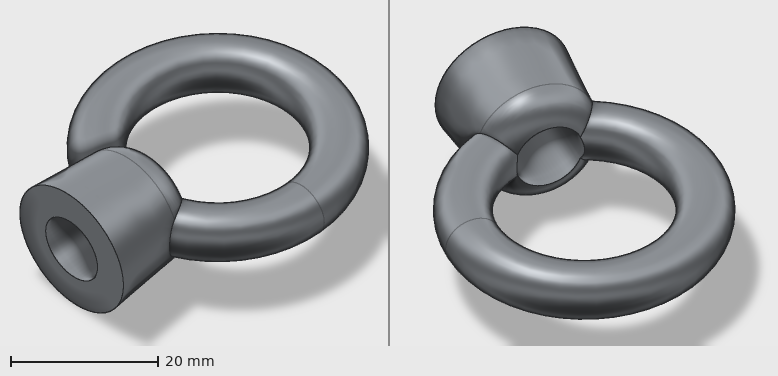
import cadquery as cq
import math

overall_length = 48.5
ring_outer_diameter = 41.0
ring_wire_diameter = 8.0

boss_base_diameter = 20.0
boss_height = 16.0
boss_taper_angle = 5.0
boss_top_rounding = 5.0
bore_diameter = 10.0

wire_radius = ring_wire_diameter / 2
ring_centre_radius = ring_outer_diameter / 2 - wire_radius
boss_base_y = ring_outer_diameter / 2 - overall_length
boss_base_radius = boss_base_diameter / 2
boss_top_radius = boss_base_radius - boss_height * math.tan(math.radians(boss_taper_angle))


def make_ring():
    return cq.Workplane("XY").add(cq.Solid.makeTorus(ring_centre_radius, wire_radius))


def make_boss():
    boss_top_y = boss_base_y + boss_height
    cone = (
        cq.Workplane("XY")
        .moveTo(0, boss_base_y)
        .lineTo(boss_base_radius, boss_base_y)
        .lineTo(boss_top_radius, boss_top_y)
        .lineTo(0, boss_top_y)
        .close()
        .revolve(360, (0, 0, 0), (0, 1, 0))
    )
    return cone.faces(">Y").edges().fillet(boss_top_rounding)


def make_bore():
    bore_length = -boss_base_y
    axis = cq.Vector(0, 1, 0)
    base_centre = cq.Vector(0, boss_base_y, 0)
    return cq.Workplane("XY").add(
        cq.Solid.makeCylinder(bore_diameter / 2, bore_length, base_centre, axis)
    )


result = make_ring().union(make_boss()).cut(make_bore())